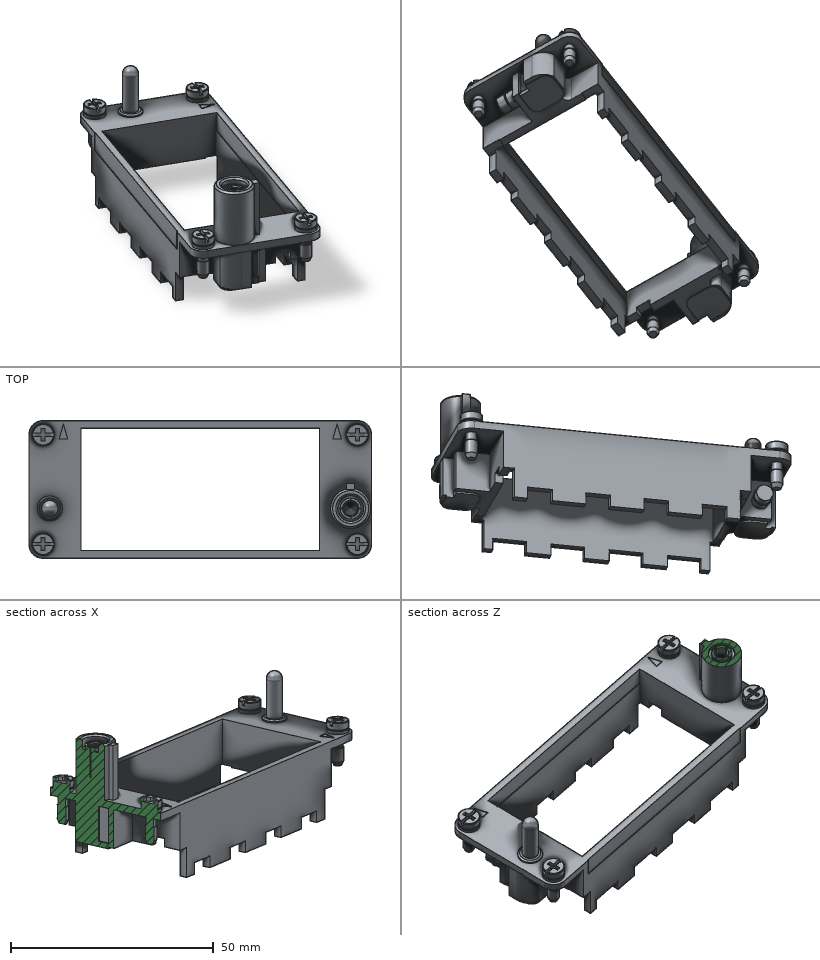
import cadquery as cq
import math

frame_length = 84.5
frame_width = 34.0
corner_radius = 3.5
plate_thickness = 2.0
opening_length = 58.8
wall_thickness = 2.0
end_wall_outer_x = opening_length / 2 + wall_thickness
end_wall_bottom_z = -11.75
end_lip_bottom_z = -12.05
end_lip_width = 24.4
opening_width = frame_width - 2 * wall_thickness
end_notch_width = 4.0
end_notch_top_z = -9.6

skirt_length = 57.3
skirt_bottom_z = -19.5
notch_top_z = -16.5
notch_count = 4
notch_pitch = 14.77
front_notch_width = 8.5
back_notch_width = 6.25
step_depth = 0.15
step_bottom_z = -4.9

screw_x = 38.75
screw_y = 13.5
head_radius = 2.75
head_groove_radius = 2.6
head_chamfer = 0.2
head_height = 3.0
head_groove_bottom_z = 0.75
head_groove_top_z = 1.05
drive_width = 0.75
drive_depth = 1.0
cross_width = 0.95
cross_length = 3.2
neck_radius = 1.3
neck_end_z = -4.05
thread_radius = 1.5
thread_end_z = -7.6
screw_tip_radius = 1.0
screw_tip_z = -8.75

guide_x = 37.1
guide_y = -4.7
pin_radius = 2.0
pin_tip_z = 12.5
collar_radius = 3.1
collar_top_radius = 2.6
collar_rim_height = 0.35
collar_height = 0.65

socket_radius = 4.95
socket_top_z = 14.5
socket_chamfer = 0.5
socket_mouth_radius = 3.2
socket_mouth_depth = 1.5
socket_mouth_chamfer = 0.45
contact_radius = 2.6
contact_gap_depth = 1.0
contact_bore_radius = 1.7
contact_bore_depth = 13.0
contact_bore_chamfer = 0.3
contact_slit_width = 0.2
contact_slit_depth = 8.0
key_width = 2.0
key_outer_y = 1.5
key_top_z = 14.2

housing_radius = 5.1
housing_front_y = -9.3
housing_shoulder_y = -2.1
housing_back_y = 2.5
housing_back_inset = 2.2
housing_bottom_z = -12.05
housing_corner_radius = 1.8
housing_fillet = 1.75
pocket_depth = 1.0
pocket_back_y = 0.75
pocket_bottom_z = -11.0
foot_bottom_z = -12.5
foot_length = 8.3
foot_front_y = -9.0
foot_corner_radius = 2.5
toe_inset = 0.5

clamp_z = -7.5
clamp_radius = 2.1
clamp_head_start_y = 5.5
clamp_end_y = 7.8
clamp_flange_width = 0.3
clamp_flange_radius = 2.35

arrow_x = 33.75
arrow_base_y = 12.5
arrow_height = 3.6
arrow_width = 2.1
arrow_rise = 0.15

overlap = 0.3


def block(x0, x1, y0, y1, z0, z1):
    """Axis-aligned box between two corners."""
    return cq.Workplane("XY").box(x1 - x0, y1 - y0, z1 - z0, centered=False).translate((x0, y0, z0))


def disc(radius, z0, z1):
    """Upright cylinder on the Z axis."""
    return cq.Workplane("XY").workplane(offset=z0).circle(radius).extrude(z1 - z0)


def turned(profile):
    """Solid of revolution about Z from (radius, z) points."""
    return cq.Workplane("XZ").polyline(profile).close().revolve(360, (0, 0, 0), (0, 1, 0))


def make_frame():
    half_width = frame_width / 2
    plate = (
        cq.Workplane("XY")
        .rect(frame_length, frame_width)
        .extrude(-plate_thickness)
        .edges("|Z")
        .fillet(corner_radius)
    )
    x = end_wall_outer_x
    upper = block(-x, x, -half_width, half_width, end_wall_bottom_z, 0)
    lip = block(-x, x, -end_lip_width / 2, end_lip_width / 2, end_lip_bottom_z, 0)
    skirt_x = skirt_length / 2
    skirt_top_z = end_wall_bottom_z + overlap
    skirt = block(-skirt_x, skirt_x, -half_width, half_width, skirt_bottom_z, skirt_top_z)
    body = plate.union(upper).union(lip).union(skirt)
    opening = block(
        -opening_length / 2, opening_length / 2, -opening_width / 2, opening_width / 2, skirt_bottom_z, 0
    )
    return body.cut(opening)


def cut_end_notch(frame):
    """Open the lower edge of the +X end wall at the back end of its lip."""
    back_y = end_lip_width / 2
    x0 = opening_length / 2
    return frame.cut(
        block(x0, end_wall_outer_x, back_y - end_notch_width, back_y, end_lip_bottom_z, end_notch_top_z)
    )


def cut_notches(frame):
    """Notch the lower edges; the back wall has the narrower notches."""
    for side, width in ((-1, front_notch_width), (1, back_notch_width)):
        y0, y1 = sorted((side * opening_width / 2, side * frame_width / 2))
        for i in range(notch_count):
            x = (i - (notch_count - 1) / 2) * notch_pitch
            frame = frame.cut(block(x - width / 2, x + width / 2, y0, y1, skirt_bottom_z, notch_top_z))
    return frame


def cut_wall_steps(frame):
    """Thin the top strip of both side walls on their -Y faces."""
    for y in (-frame_width / 2, opening_width / 2):
        strip = block(-opening_length / 2, opening_length / 2, y, y + step_depth, step_bottom_z, 0)
        frame = frame.cut(strip)
    return frame


def make_corner_screw():
    screw = turned([
        (0, screw_tip_z),
        (screw_tip_radius, screw_tip_z),
        (thread_radius, thread_end_z),
        (thread_radius, neck_end_z),
        (neck_radius, neck_end_z),
        (neck_radius, 0),
        (head_radius, 0),
        (head_radius, head_groove_bottom_z),
        (head_groove_radius, head_groove_bottom_z),
        (head_groove_radius, head_groove_top_z),
        (head_radius, head_groove_top_z),
        (head_radius, head_height - head_chamfer),
        (head_radius - head_chamfer, head_height),
        (0, head_height),
    ])
    floor_z = head_height - drive_depth
    slot = block(-head_radius, head_radius, -drive_width / 2, drive_width / 2, floor_z, head_height)
    cross_x = cross_width / 2
    cross_y = cross_length / 2
    cross = block(-cross_x, cross_x, -cross_y, cross_y, floor_z, head_height)
    return screw.cut(slot).cut(cross)


def make_pin():
    dome_start_z = pin_tip_z - pin_radius
    pin = (
        cq.Workplane("XZ")
        .moveTo(0, -overlap)
        .lineTo(pin_radius, -overlap)
        .lineTo(pin_radius, dome_start_z)
        .radiusArc((0, pin_tip_z), -pin_radius)
        .close()
        .revolve(360, (0, 0, 0), (0, 1, 0))
    )
    collar = turned([
        (0, -overlap),
        (collar_radius, -overlap),
        (collar_radius, collar_rim_height),
        (collar_top_radius, collar_height),
        (0, collar_height),
    ])
    return pin.union(collar)


def make_socket():
    sleeve = disc(socket_radius, -overlap, socket_top_z).faces(">Z").chamfer(socket_chamfer)
    key = block(-key_width / 2, key_width / 2, 0, key_outer_y - guide_y, -overlap, key_top_z)
    return sleeve.union(key)


def make_socket_bore():
    mouth_z = socket_top_z - socket_mouth_depth
    gap_z = mouth_z - contact_gap_depth
    bore_z = socket_top_z - contact_bore_depth
    bore = turned([
        (0, bore_z - contact_bore_radius),
        (contact_bore_radius, bore_z),
        (contact_bore_radius, mouth_z - contact_bore_chamfer),
        (contact_bore_radius + contact_bore_chamfer, mouth_z),
        (contact_radius, mouth_z),
        (contact_radius, gap_z),
        (socket_mouth_radius, gap_z),
        (socket_mouth_radius, socket_top_z - socket_mouth_chamfer),
        (socket_mouth_radius + socket_mouth_chamfer, socket_top_z),
        (0, socket_top_z),
    ])
    slit_y = contact_slit_width / 2
    slit = block(-contact_radius, contact_radius, -slit_y, slit_y, mouth_z - contact_slit_depth, mouth_z)
    return bore.union(slit).union(slit.rotate((0, 0, 0), (0, 0, 1), 90))


def make_clamp_screw():
    """Clamping screw along Y, with a thin flange under its head."""
    def section(radius, y0, y1):
        plane = cq.Workplane("XZ", origin=(-guide_x, y0, clamp_z))
        return plane.circle(radius).extrude(y0 - y1)

    shank = section(clamp_radius, housing_back_y - overlap, clamp_end_y)
    flange = section(clamp_flange_radius, clamp_head_start_y - clamp_flange_width, clamp_head_start_y)
    return shank.union(flange)


def make_housing():
    """Guide housing at the -X end, joined to the end wall."""
    outer_x = -guide_x - housing_radius
    back_x = outer_x + housing_back_inset
    wall_x = -end_wall_outer_x
    arc_end_x = -guide_x - math.sqrt(housing_radius**2 - (housing_front_y - guide_y) ** 2)
    corner_end_x = wall_x - housing_fillet
    corner_end_y = housing_front_y + housing_corner_radius
    height = -plate_thickness + overlap - housing_bottom_z
    body = (
        cq.Workplane("XY", origin=(0, 0, housing_bottom_z))
        .moveTo(wall_x + overlap, housing_back_y)
        .lineTo(back_x, housing_back_y)
        .lineTo(back_x, housing_shoulder_y)
        .lineTo(outer_x, housing_shoulder_y)
        .lineTo(outer_x, guide_y)
        .radiusArc((arc_end_x, housing_front_y), -housing_radius)
        .lineTo(corner_end_x - housing_corner_radius, housing_front_y)
        .radiusArc((corner_end_x, corner_end_y), -housing_corner_radius)
        .radiusArc((wall_x, corner_end_y - housing_fillet), housing_fillet)
        .lineTo(wall_x + overlap, corner_end_y - housing_fillet)
        .close()
        .extrude(height)
    )
    pocket = block(
        outer_x, back_x + pocket_depth, housing_shoulder_y, pocket_back_y, foot_bottom_z, -plate_thickness
    )
    foot_width = pocket_back_y - foot_front_y
    foot = (
        cq.Workplane("XY", origin=(-guide_x, foot_front_y + foot_width / 2, foot_bottom_z))
        .rect(foot_length, foot_width)
        .extrude(housing_bottom_z + overlap - foot_bottom_z)
        .edges("|Z")
        .fillet(foot_corner_radius)
    )
    toe_x = back_x + toe_inset
    toe = block(toe_x, -guide_x, housing_shoulder_y, pocket_back_y, foot_bottom_z, pocket_bottom_z)
    return body.union(foot).cut(pocket).union(toe)


def make_arrow():
    half = arrow_width / 2
    outline = [(-half, arrow_base_y), (half, arrow_base_y), (0, arrow_base_y + arrow_height)]
    plane = cq.Workplane("XY", origin=(0, 0, -overlap))
    return plane.polyline(outline).close().extrude(arrow_rise + overlap)


part = cut_wall_steps(cut_notches(cut_end_notch(make_frame())))

housing = make_housing()
part = part.union(housing).union(housing.mirror("YZ")).union(make_clamp_screw())

corner_screw = make_corner_screw()
for side_x in (-1, 1):
    part = part.union(make_arrow().translate((side_x * arrow_x, 0, 0)))
    for side_y in (-1, 1):
        part = part.union(corner_screw.translate((side_x * screw_x, side_y * screw_y, 0)))

part = part.union(make_pin().translate((-guide_x, guide_y, 0)))
part = part.union(make_socket().translate((guide_x, guide_y, 0)))
result = part.cut(make_socket_bore().translate((guide_x, guide_y, 0)))